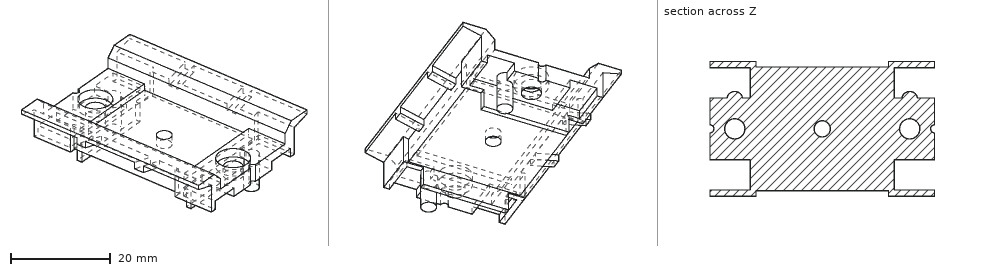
import cadquery as cq
import math

length = 45.0
width = 35.2
body_height = 8.5
end_floor_z = 4.0

wall_outer_y = 13.5
wall_inner_y = 10.5
wall_chamfer = 2.0
flange_tip = 1.0
flange_angle = 15.0

middle_half_length = 13.25
middle_floor_z = 2.5
middle_bottom_z = 0.3
middle_wall_y = 12.4

rib_x = 7.35
rib_width = 2.2
rib_drop = 1.55

screw_x = 17.5
screw_diameter = 4.0
counterbore_diameter = 7.0
counterbore_depth = 2.0
center_hole_diameter = 3.2
notch_radius = 0.8

pocket_inner_y = 6.2
pocket_outer_y = 12.2
pocket_depth = 2.0

leg_thickness = 1.2
leg_y_min = -9.8
leg_y_max = 9.1
leg_drop = 4.3
pin_y = 5.9
pin_diameter = 3.2
pin_drop = 6.0

flange_tip_y = width / 2
flange_slope = math.tan(math.radians(flange_angle))
flange_tip_z = body_height - flange_tip
leg_outer_x = middle_half_length + leg_thickness
SIDES = (-1, 1)


def box(x_range, y_range, z_range):
    """Box from pairs of limits, given in either order."""
    x0, x1 = sorted(x_range)
    y0, y1 = sorted(y_range)
    z0, z1 = sorted(z_range)
    return cq.Workplane("XY").box(x1 - x0, y1 - y0, z1 - z0, centered=False).translate((x0, y0, z0))


def prism(yz_points, x_center, x_length):
    """Extrude a Y-Z outline along X, centered on x_center."""
    outline = cq.Workplane("YZ").polyline(yz_points).close()
    return outline.extrude(x_length / 2, both=True).translate((x_center, 0, 0))


def flange_underside_z(y):
    return flange_tip_z - (flange_tip_y - y) * flange_slope


def make_body():
    half_outline = [
        (wall_outer_y, 0),
        (wall_outer_y, flange_underside_z(wall_outer_y)),
        (flange_tip_y, flange_tip_z),
        (flange_tip_y, body_height),
        (wall_inner_y + wall_chamfer, body_height),
        (wall_inner_y, body_height - wall_chamfer),
        (wall_inner_y, end_floor_z),
    ]
    mirrored = [(-y, z) for y, z in reversed(half_outline)]
    return prism(half_outline + mirrored, 0, length)


def cut_middle(body):
    """Lower the floor, raise the underside and set back the outer walls between the ends."""
    x_range = (-middle_half_length, middle_half_length)
    body = body.cut(box(x_range, (-wall_inner_y, wall_inner_y), (middle_floor_z, end_floor_z)))
    body = body.cut(box(x_range, (-wall_outer_y, wall_outer_y), (0, middle_bottom_z)))
    for side in SIDES:
        setback = [
            (side * middle_wall_y, 0),
            (side * middle_wall_y, flange_underside_z(middle_wall_y)),
            (side * wall_outer_y, flange_underside_z(wall_outer_y)),
            (side * wall_outer_y, 0),
        ]
        body = body.cut(prism(setback, 0, 2 * middle_half_length))
    return body


def add_flange_ribs(body):
    root_z = flange_underside_z(middle_wall_y)
    for side in SIDES:
        outline = [
            (side * middle_wall_y, root_z),
            (side * flange_tip_y, flange_tip_z),
            (side * flange_tip_y, flange_tip_z - rib_drop),
            (side * middle_wall_y, root_z - rib_drop),
        ]
        for end in SIDES:
            body = body.union(prism(outline, end * rib_x, rib_width))
    return body


def cut_end_pockets(body):
    for end in SIDES:
        for side in SIDES:
            x_range = (end * leg_outer_x, end * length / 2)
            y_range = (side * pocket_inner_y, side * pocket_outer_y)
            body = body.cut(box(x_range, y_range, (0, pocket_depth)))
    return body


def add_legs_and_pins(body):
    """Legs hang flush with the inner end of the pockets; pins start at the pocket ceiling."""
    for end in SIDES:
        x_range = (end * middle_half_length, end * leg_outer_x)
        body = body.union(box(x_range, (leg_y_min, leg_y_max), (-leg_drop, middle_bottom_z)))
        pin = cq.Workplane("XY").circle(pin_diameter / 2).extrude(pin_drop + pocket_depth)
        body = body.union(pin.translate((end * screw_x, pin_y, -pin_drop)))
    return body


def cut_holes(body):
    top = cq.Workplane("XY", origin=(0, 0, end_floor_z))
    screw_points = [(-screw_x, 0), (screw_x, 0)]
    end_points = [(-length / 2, 0), (length / 2, 0)]
    body = body.cut(top.pushPoints(screw_points).circle(screw_diameter / 2).extrude(-end_floor_z))
    body = body.cut(top.pushPoints(screw_points).circle(counterbore_diameter / 2).extrude(-counterbore_depth))
    body = body.cut(top.pushPoints(end_points).circle(notch_radius).extrude(-end_floor_z))
    return body.cut(top.circle(center_hole_diameter / 2).extrude(-end_floor_z))


result = make_body()
result = cut_middle(result)
result = add_flange_ribs(result)
result = cut_end_pockets(result)
result = add_legs_and_pins(result)
result = cut_holes(result)